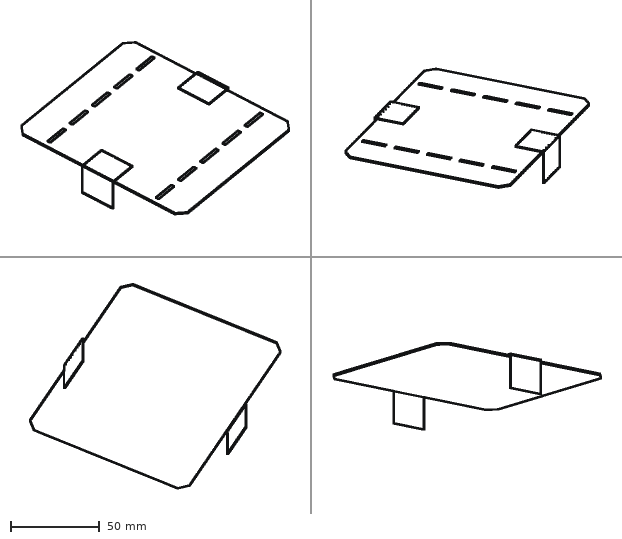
import cadquery as cq

plate_length = 120.0
plate_width = 101.8
plate_thickness = 1.0
corner_chamfer = 5.0

slot_width = 2.0
slot_length = 14.0
slot_depth = 0.1
slot_pitch = 20.0
slots_per_column = 5
column_spacing = 78.2

clip_span = 104.5
clip_width = 22.2
clip_height = 19.9
clip_flap_length = 17.6
clip_thickness = 0.6


def make_plate():
    """Plate with its bottom on Z = 0, chamfered corners and blind slots."""
    blank = (
        cq.Workplane("XY")
        .rect(plate_length, plate_width)
        .extrude(plate_thickness)
        .edges("|Z")
        .chamfer(corner_chamfer)
    )
    return (
        blank.faces(">Z")
        .workplane(origin=(0, 0, plate_thickness))
        .rarray(column_spacing, slot_pitch, 2, slots_per_column)
        .rect(slot_width, slot_length)
        .cutBlind(-slot_depth)
    )


def make_clip(side):
    """L-shaped clip on the +Y (side = 1) or -Y (side = -1) edge of the plate."""
    outer_y = side * clip_span / 2
    leg_inner_y = outer_y - side * clip_thickness
    flap_end_y = outer_y - side * clip_flap_length
    flap_bottom_z = plate_thickness
    flap_top_z = flap_bottom_z + clip_thickness
    leg_bottom_z = flap_top_z - clip_height
    return (
        cq.Workplane("YZ")
        .moveTo(outer_y, flap_top_z)
        .lineTo(outer_y, leg_bottom_z)
        .lineTo(leg_inner_y, leg_bottom_z)
        .lineTo(leg_inner_y, flap_bottom_z)
        .lineTo(flap_end_y, flap_bottom_z)
        .lineTo(flap_end_y, flap_top_z)
        .close()
        .extrude(clip_width / 2, both=True)
    )


plate = make_plate()
clips = [make_clip(side) for side in (1, -1)]

result = cq.Compound.makeCompound([plate.val(), *[clip.val() for clip in clips]])